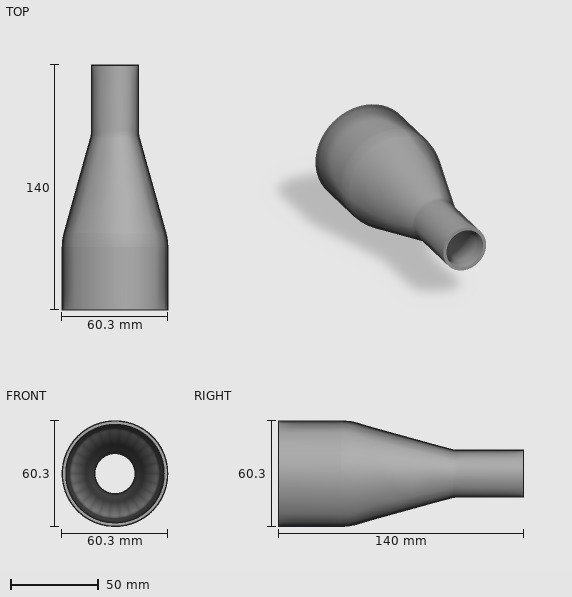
import cadquery as cq
import math

total_length = 140.0
socket_length = 36.0
spigot_length = 38.2

socket_outer_diameter = 60.3
socket_bore_diameter = 56.3
spigot_outer_diameter = 26.9
spigot_bore_diameter = 23.0

socket_bend_radius = 30.1
spigot_bend_radius = 12.6

socket_wall = (socket_outer_diameter - socket_bore_diameter) / 2
spigot_wall = (spigot_outer_diameter - spigot_bore_diameter) / 2
spigot_start = total_length - spigot_length


def cone_half_angle(radius_drop, bend_radius_sum):
    """Angle of the straight line tangent to both bends."""
    run = spigot_start - socket_length
    rise = bend_radius_sum - radius_drop
    return math.asin(bend_radius_sum / math.hypot(run, rise)) - math.atan2(rise, run)


def reducer_body(socket_diameter, spigot_diameter, convex_radius, concave_radius):
    """Solid of revolution about Y whose cone blends smoothly into both cylinders."""
    socket_radius = socket_diameter / 2
    spigot_radius = spigot_diameter / 2
    angle = cone_half_angle(socket_radius - spigot_radius, convex_radius + concave_radius)

    def convex_point(turn):
        return (
            socket_radius - convex_radius * (1 - math.cos(turn)),
            socket_length + convex_radius * math.sin(turn),
        )

    def concave_point(turn):
        return (
            spigot_radius + concave_radius * (1 - math.cos(turn)),
            spigot_start - concave_radius * math.sin(turn),
        )

    return (
        cq.Workplane("XY")
        .lineTo(socket_radius, 0)
        .lineTo(*convex_point(0))
        .threePointArc(convex_point(angle / 2), convex_point(angle))
        .lineTo(*concave_point(angle))
        .threePointArc(concave_point(angle / 2), concave_point(0))
        .lineTo(spigot_radius, total_length)
        .lineTo(0, total_length)
        .close()
        .revolve(360, (0, 0, 0), (0, 1, 0))
    )


outer_body = reducer_body(
    socket_outer_diameter,
    spigot_outer_diameter,
    socket_bend_radius,
    spigot_bend_radius,
)

bore = reducer_body(
    socket_bore_diameter,
    spigot_bore_diameter,
    socket_bend_radius - socket_wall,
    spigot_bend_radius + spigot_wall,
)

result = outer_body.cut(bore)